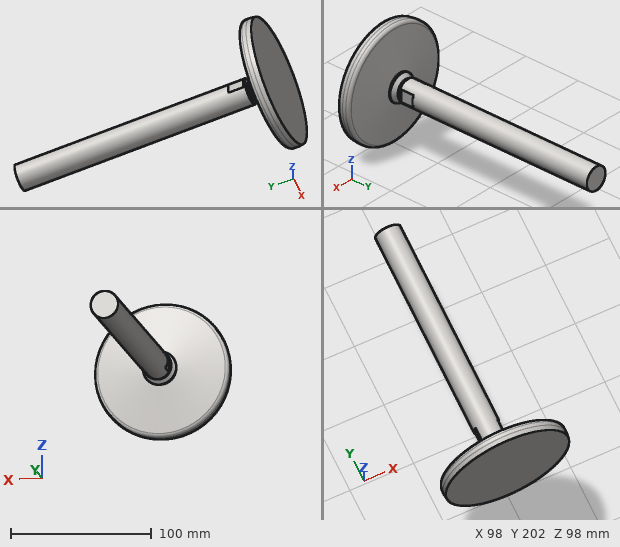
import cadquery as cq
import math

total_length = 202.0

foot_radius = 98.0 / 2
bottom_radius = 48.5
taper_height = 3.8
rim_height = 6.9
rim_round = 3.0
collar_radius = 12.1
collar_base = 15.4
collar_edge = 16.5
collar_top = 20.5
collar_top_radius = 8.7

rod_radius = 20.0 / 2
rod_end = 22.2
rod_chamfer = 0.5
ball_radius = 9.5
ball_center = 14.7
flat_half_width = 8.5
flat_start = 23.8
flat_end = 35.5


def cone_slope():
    """Slope of the shallow cone that leaves the collar and is tangent to the rim round."""
    run = foot_radius - rim_round - collar_radius
    rise = collar_base - rim_height
    return math.atan2(rise, run) - math.asin(rim_round / math.hypot(run, rise))


def revolve_about_y(profile):
    return profile.close().revolve(360, (0, 0, 0), (0, 1, 0))


def make_ball():
    return cq.Workplane("XY").sphere(ball_radius).translate((0, ball_center, 0))


def make_foot():
    slope = cone_slope()

    def on_round(angle):
        return (
            foot_radius - rim_round + rim_round * math.cos(angle),
            rim_height + rim_round * math.sin(angle),
        )

    round_end = math.pi / 2 - slope
    profile = (
        cq.Workplane("XY")
        .lineTo(bottom_radius, 0)
        .lineTo(foot_radius, taper_height)
        .lineTo(foot_radius, rim_height)
        .threePointArc(on_round(round_end / 2), on_round(round_end))
        .lineTo(collar_radius, collar_base)
        .lineTo(collar_radius, collar_edge)
        .lineTo(collar_top_radius, collar_top)
        .lineTo(0, collar_top)
    )
    return revolve_about_y(profile).cut(make_ball())


def make_stem():
    rod = revolve_about_y(
        cq.Workplane("XY")
        .moveTo(0, rod_end)
        .lineTo(rod_radius - rod_chamfer, rod_end)
        .lineTo(rod_radius, rod_end + rod_chamfer)
        .lineTo(rod_radius, total_length)
        .lineTo(0, total_length)
    )
    flat_depth = rod_radius - flat_half_width
    flat_middle = (flat_start + flat_end) / 2
    for side in (-1, 1):
        cutter = cq.Workplane("XY").box(flat_depth, flat_end - flat_start, 2 * rod_radius)
        cutter_x = side * (flat_half_width + flat_depth / 2)
        rod = rod.cut(cutter.translate((cutter_x, flat_middle, 0)))
    return rod.union(make_ball())


foot = make_foot()
stem = make_stem()
result = cq.Compound.makeCompound([foot.val(), stem.val()])